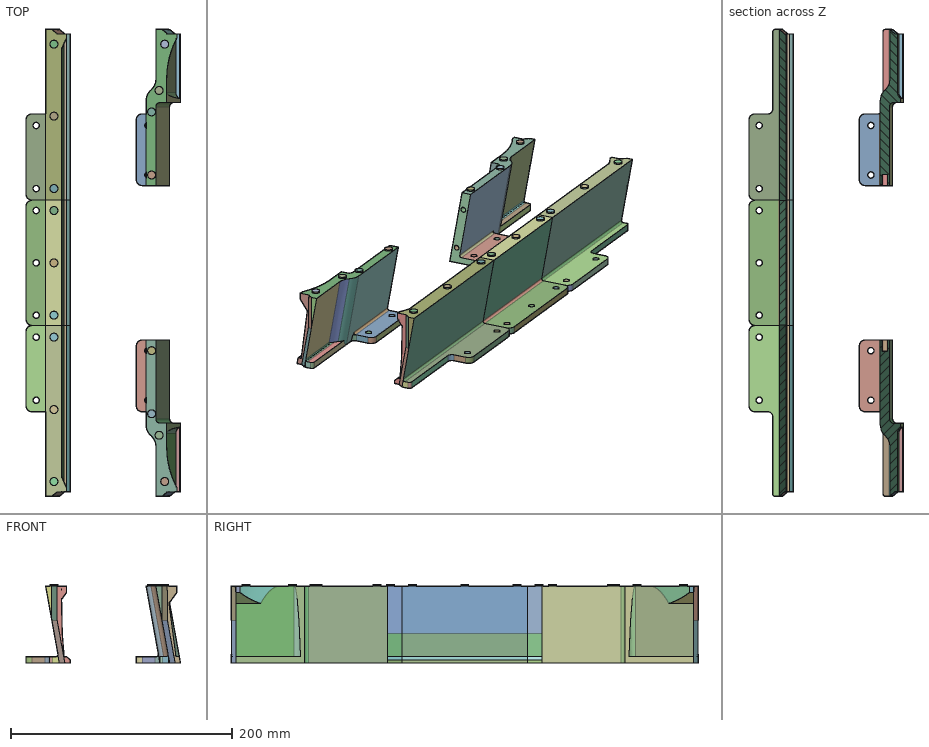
import cadquery as cq
import math

half_length = 211.2
seam = 56.5
short_start = 69.7
short_offset = 99.5

overall_height = 71.0
pin_height = 1.3
wall_top = overall_height - pin_height
plate_thickness = 6.0

flange_end = 134.8
foot_right = 40.0
toe_height = 3.0
corner_radius = 5.5
foot_inside_radius = 4.2
foot_outside_radius = 2.5
root_leg = 2.0
screw_hole_diameter = 5.5
long_screw_x = 9.5
long_screw_inset = 10.5
center_screw_inset = 9.5

lean = 0.18
full_lean = lean * wall_top
wall_left_top = 17.7
long_wall_right_top = 32.0
long_wall_knee = (33.0, 26.5)
long_wall_root_x = 34.5
long_toe_x = 36.8

pin_diameter = 7.0
long_pin_x = 25.5
middle_pin_y = 132.5
outer_pin_y = 197.7

inner_left_top = 9.0
outer_right_top = foot_right - full_lean
jog_end = 166.0
jog_length = 19.5
step_y = 145.0
step_radius = 4.0
scoop_start = 147.5
scoop_radius = 6.8
scoop_root_x = 36.0
short_screw_x = 10.5
short_screw_inset = 9.7
short_pins = [(14.0, 79.5), (14.0, 136.5), (20.5, 156.0), (25.8, outer_pin_y)]
dowel_hole_diameter = 4.5
dowel_hole_depth = 10.0
dowel_heights = (14.8, 53.2)

nose_length = 4.2
nose_left = 23.2
nose_width = 5.0
nose_change_z = 38.5
flare_start_x = outer_right_top
flare_right = 36.8
flare_straight_z = 64.0
flare_under = (32.5, 58.0)
flare_length = 36.5
flare_land = 4.0

foot_left = inner_left_top + full_lean

margin = 21.0


def leaning_prism(outline, z_low, z_high, slope):
    """Extrude a wire lying at z_low up to z_high while it shifts towards -X."""
    rise = z_high - z_low
    direction = cq.Vector(-slope * rise, 0, rise)
    return cq.Workplane(obj=cq.Solid.extrudeLinear(outline, [], direction))


def y_prism(points, y_low, y_high):
    """Extrude a polygon of (X, Z) points from y_low to y_high."""
    return cq.Workplane("XZ", origin=(0, y_low, 0)).polyline(points).close().extrude(y_low - y_high)


def base(y_low, y_high, right, flange_low, flange_high):
    """Flat foot under the wall with the wider, round-cornered mounting flange."""
    foot = cq.Workplane().box(right - foot_left, y_high - y_low, plate_thickness, centered=False)
    foot = foot.translate((foot_left, y_low, 0))
    flange = cq.Workplane().box(right, flange_high - flange_low, plate_thickness, centered=False)
    flange = flange.translate((0, flange_low, 0)).edges("|Z and <X").fillet(corner_radius)
    return foot.union(flange)


def upright_edge(x, y):
    """Selector for the upright edge of the base at (x, y)."""
    reach = 0.5
    return cq.selectors.BoxSelector((x - reach, y - reach, 0), (x + reach, y + reach, plate_thickness))


def round_foot(body):
    """Round the inside corner at the flange end and the outer corner of the foot."""
    body = body.edges(upright_edge(foot_left, flange_end)).fillet(foot_inside_radius)
    return body.edges(upright_edge(foot_left, half_length)).fillet(foot_outside_radius)


def wall_root(left_top, y_low, y_high):
    """Rounded root where the front of a wall meets the top of the foot."""
    corner_x = left_top + lean * (wall_top - plate_thickness)
    lean_angle = math.atan(lean)
    radius = root_leg * math.tan(math.pi / 4 - lean_angle / 2)
    on_wall = (
        corner_x - root_leg * math.sin(lean_angle),
        plate_thickness + root_leg * math.cos(lean_angle),
    )
    on_foot = (corner_x - root_leg, plate_thickness)
    return (
        cq.Workplane("XZ", origin=(0, y_low, 0))
        .moveTo(*on_wall)
        .radiusArc(on_foot, radius)
        .lineTo(corner_x + root_leg, plate_thickness)
        .close()
        .extrude(y_low - y_high)
    )


def screw_holes(x, ys):
    return (
        cq.Workplane()
        .pushPoints([(x, y) for y in ys])
        .circle(screw_hole_diameter / 2)
        .extrude(plate_thickness)
    )


def top_pins(points):
    return (
        cq.Workplane(origin=(0, 0, wall_top))
        .pushPoints(points)
        .circle(pin_diameter / 2)
        .extrude(pin_height)
    )


def long_wall(y_low, y_high):
    """Long rail wall, with its rounded root in front and the toe of the foot behind."""
    profile = [
        (wall_left_top + full_lean, 0),
        (wall_left_top, wall_top),
        (long_wall_right_top, wall_top),
        long_wall_knee,
        (long_wall_root_x, plate_thickness),
        (long_toe_x, plate_thickness),
        (foot_right, toe_height),
        (foot_right, 0),
    ]
    return y_prism(profile, y_low, y_high).union(wall_root(wall_left_top, y_low, y_high))


def flared_head():
    """Thickening at the top of the outer end, running out along an arc."""
    end_y = half_length - nose_length
    arc_end_y = end_y - flare_land
    start_y = arc_end_y - flare_length
    rise = flare_right - flare_start_x
    radius = (flare_length**2 + rise**2) / (2 * rise)
    half_angle = math.asin(flare_length / radius) / 2
    arc_middle = (
        flare_start_x + radius * (1 - math.cos(half_angle)),
        start_y + radius * math.sin(half_angle),
    )
    plan = (
        cq.Workplane()
        .moveTo(flare_start_x, start_y)
        .threePointArc(arc_middle, (flare_right, arc_end_y))
        .lineTo(flare_right, end_y)
        .lineTo(foot_left, end_y)
        .lineTo(foot_left, start_y)
        .close()
        .extrude(wall_top)
    )
    under_x, under_z = flare_under
    slope = (flare_straight_z - under_z) / (flare_right - under_x)
    profile = [
        (flare_start_x, under_z - slope * (under_x - flare_start_x)),
        (flare_right, flare_straight_z),
        (flare_right, wall_top),
        (foot_left, wall_top),
    ]
    return plan.intersect(y_prism(profile, start_y, end_y))


def nose_cutter(left, z_low, z_high, slope):
    """Material removed behind the bevelled nose at the outer end."""
    shoulder_y = half_length - nose_length
    outline = cq.Wire.makePolygon(
        [
            cq.Vector(left, half_length, z_low),
            cq.Vector(left + nose_width, shoulder_y, z_low),
            cq.Vector(foot_right + margin, shoulder_y, z_low),
            cq.Vector(foot_right + margin, half_length + margin, z_low),
            cq.Vector(left, half_length + margin, z_low),
        ],
        close=True,
    )
    return leaning_prism(outline, z_low, z_high, slope)


def cut_nose(body):
    """Bevel the outer end: leaning with the wall below, upright above."""
    lower_left = nose_left + lean * nose_change_z
    body = body.cut(nose_cutter(lower_left, 0, nose_change_z, lean))
    return body.cut(nose_cutter(nose_left, nose_change_z, wall_top, 0))


def center_rail():
    """Long centre rail, symmetric about Y = 0."""
    screw_y = seam - center_screw_inset
    ys = (-screw_y, 0, screw_y)
    body = base(-seam, seam, long_wall_root_x, -seam, seam)
    body = body.union(long_wall(-seam, seam))
    body = body.union(top_pins([(long_pin_x, y) for y in ys]))
    return body.cut(screw_holes(long_screw_x, ys))


def end_rail():
    """Long end rail on the +Y side."""
    first_y = seam + long_screw_inset
    body = base(seam, half_length, long_wall_root_x, seam, flange_end)
    body = round_foot(body).union(long_wall(seam, half_length))
    body = body.union(flared_head())
    body = cut_nose(body)
    body = body.union(top_pins([(long_pin_x, y) for y in (first_y, middle_pin_y, outer_pin_y)]))
    return body.cut(screw_holes(long_screw_x, (first_y, flange_end - long_screw_inset)))


def jog_arc_point(outer_left):
    """Middle point of the jog's second arc, which ends parallel to Y at jog_end."""
    half_width = (wall_left_top - inner_left_top) / 2
    half_run = jog_length / 2
    radius = (half_width**2 + half_run**2) / (2 * half_width)
    half_angle = math.asin(half_run / radius) / 2
    return (
        outer_left - radius * (1 - math.cos(half_angle)),
        jog_end - radius * math.sin(half_angle),
    )


def short_wall_outline():
    """Plan of the short rail wall at its foot, where it is furthest towards +X."""
    left = inner_left_top + full_lean
    outer_left = wall_left_top + full_lean
    right = outer_right_top + full_lean
    jog_start = jog_end - jog_length
    jog_middle = ((left + outer_left) / 2, jog_start + jog_length / 2)
    return (
        cq.Workplane()
        .moveTo(left, short_start)
        .lineTo(left, jog_start)
        .tangentArcPoint(jog_middle, relative=False)
        .threePointArc(jog_arc_point(outer_left), (outer_left, jog_end))
        .lineTo(outer_left, half_length)
        .lineTo(right, half_length)
        .lineTo(right, step_y)
        .lineTo(outer_left + step_radius, step_y)
        .radiusArc((outer_left, step_y - step_radius), -step_radius)
        .lineTo(outer_left, short_start)
        .close()
        .wire()
        .val()
    )


def scoop():
    """Hollow in the back of the short rail, leaving a full-thickness block at the step."""
    slope = (scoop_root_x - outer_right_top) / (wall_top - plate_thickness)
    outline = (
        cq.Workplane(origin=(0, 0, plate_thickness))
        .moveTo(scoop_root_x + scoop_radius, scoop_start)
        .radiusArc((scoop_root_x, scoop_start + scoop_radius), scoop_radius)
        .lineTo(scoop_root_x, half_length + margin)
        .lineTo(foot_right + margin, half_length + margin)
        .lineTo(foot_right + margin, scoop_start)
        .close()
        .wire()
        .val()
    )
    return leaning_prism(outline, plate_thickness, wall_top, slope)


def dowel_holes():
    """Blind holes in the inner end face, midway through the leaning wall."""
    middle_top = (inner_left_top + wall_left_top) / 2
    centers = [(middle_top + lean * (wall_top - z), z) for z in dowel_heights]
    return (
        cq.Workplane("XZ", origin=(0, short_start, 0))
        .pushPoints(centers)
        .circle(dowel_hole_diameter / 2)
        .extrude(-dowel_hole_depth)
    )


def short_rail():
    """Short rail on the +Y side, built from its own flange edge and then moved into place."""
    base_right = wall_left_top + lean * (wall_top - plate_thickness)
    body = base(short_start, half_length, base_right, short_start, flange_end)
    body = round_foot(body)
    body = body.union(leaning_prism(short_wall_outline(), 0, wall_top, lean))
    body = body.cut(scoop())
    body = body.union(wall_root(inner_left_top, short_start, flange_end))
    body = body.union(wall_root(wall_left_top, jog_end - jog_length / 2, half_length))
    body = body.union(flared_head())
    body = cut_nose(body)
    body = body.union(top_pins(short_pins))
    screw_ys = (short_start + short_screw_inset, flange_end - long_screw_inset)
    body = body.cut(screw_holes(short_screw_x, screw_ys))
    return body.cut(dowel_holes()).translate((short_offset, 0, 0))


rails = [center_rail().val()]
for one_rail in (end_rail(), short_rail()):
    rails.append(one_rail.val())
    rails.append(one_rail.mirror("XZ").val())

result = cq.Compound.makeCompound(rails)